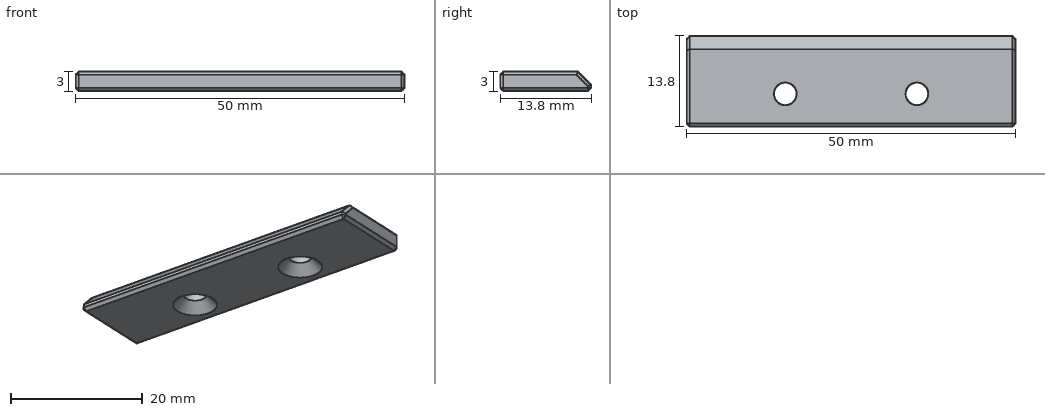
import cadquery as cq

length = 50.0
width = 13.8
thickness = 3.0

edge_chamfer = 0.5
bevel = 2.0

hole_diameter = 3.4
hole_spacing = 20.0
hole_from_front = 5.0
countersink_diameter = 6.7
countersink_angle = 90.0


def beveled_bar():
    """Bar centred in X and Y, with the bevel along its rear top edge."""
    block = cq.Workplane("XY").box(length, width, thickness, centered=(True, True, False))
    return block.faces(">Y").edges(">Z").chamfer(bevel)


def break_edges(bar):
    """Chamfer every edge except the two long edges bounding the bevel."""
    end_edges = bar.faces("<X or >X").edges()
    bottom_edges = bar.faces("<Z").edges("|X")
    front_top_edge = bar.faces("<Y").edges(">Z")
    return end_edges.add(bottom_edges).add(front_top_edge).chamfer(edge_chamfer)


def drill_holes(bar):
    """Drill the pair of through holes, countersunk from the underside."""
    hole_y = width / 2 - hole_from_front
    hole_centers = [(side * hole_spacing / 2, hole_y) for side in (-1, 1)]
    underside = cq.Plane(origin=(0, 0, 0), xDir=(1, 0, 0), normal=(0, 0, -1))
    return (
        bar.copyWorkplane(cq.Workplane(underside))
        .pushPoints(hole_centers)
        .cskHole(hole_diameter, countersink_diameter, countersink_angle)
    )


result = drill_holes(break_edges(beveled_bar()))